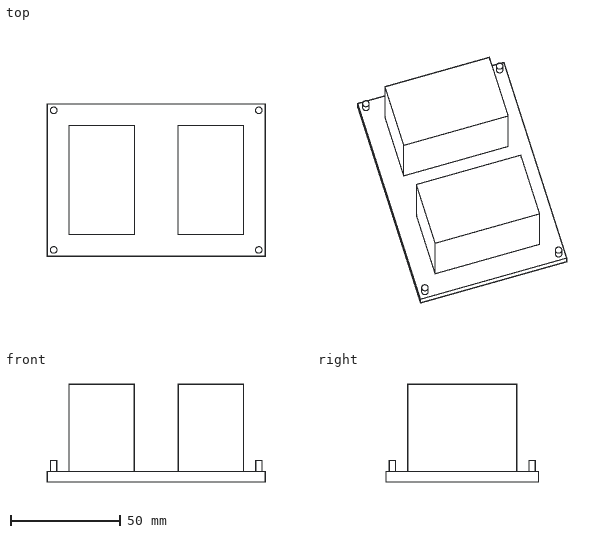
import cadquery as cq

plate_length = 100.0
plate_width = 70.0
plate_thickness = 5.0

block_length = 30.0
block_width = 50.0
block_height = 40.0
block_spacing = 50.0

pin_diameter = 3.0
pin_height = 5.0
pin_edge_offset = 3.0

pin_spacing_x = plate_length - 2 * pin_edge_offset
pin_spacing_y = plate_width - 2 * pin_edge_offset


def make_plate():
    return cq.Workplane("XY").box(
        plate_length, plate_width, plate_thickness, centered=(True, True, False)
    )


def add_blocks(body):
    block_centres = [(-block_spacing / 2, 0), (block_spacing / 2, 0)]
    blocks = (
        cq.Workplane("XY", origin=(0, 0, plate_thickness))
        .pushPoints(block_centres)
        .rect(block_length, block_width)
        .extrude(block_height)
    )
    return body.union(blocks)


def add_corner_pins(body):
    pins = (
        cq.Workplane("XY", origin=(0, 0, plate_thickness))
        .rect(pin_spacing_x, pin_spacing_y, forConstruction=True)
        .vertices()
        .circle(pin_diameter / 2)
        .extrude(pin_height)
    )
    return body.union(pins)


result = add_corner_pins(add_blocks(make_plate()))